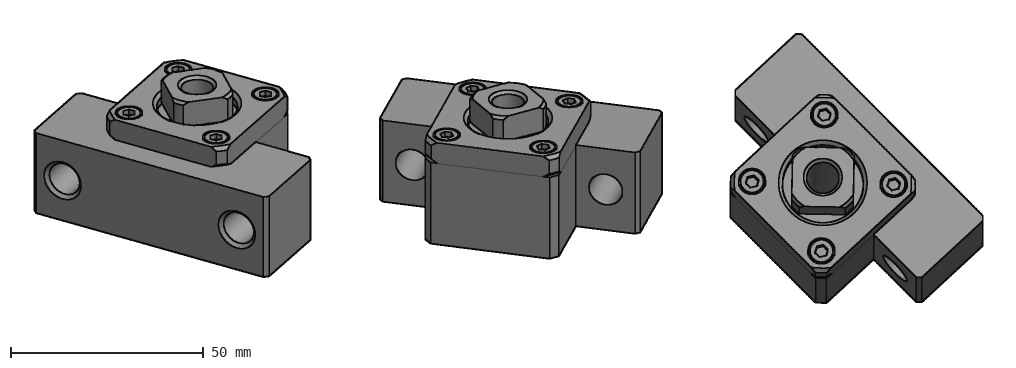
import cadquery as cq
import math

BLOCK_LENGTH = 70.0
FOOT_DEPTH = 24.0
BLOCK_HEIGHT = 24.0
FOOT_CHAMFER = 1.06
BACK_CHAMFER = 2.0

COVER_SIZE = 36.0
COVER_THICKNESS = 6.0
COVER_CORNER_DIAMETER = 48.0
COVER_EDGE_CHAMFER = 1.0
COVER_TOP = BLOCK_HEIGHT + COVER_THICKNESS

TOTAL_DEPTH = 43.0
BACK_Y = COVER_SIZE / 2
FRONT_Y = BACK_Y - TOTAL_DEPTH
STEP_Y = FRONT_Y + FOOT_DEPTH

MOUNT_DIAMETER = 9.0
MOUNT_SPACING = 52.0
MOUNT_CHAMFER = 1.0

BORE_DIAMETER = 21.0
BORE_CHAMFER = 1.0
BORE_DEPTH = 3.0

SCREW_SPACING = 26.0
COUNTERBORE_DIAMETER = 7.0
SCREW_HEAD_DIAMETER = 6.0
HEAD_GAP_DEPTH = 3.0
SOCKET_ACROSS_FLATS = 3.0
SOCKET_DEPTH = 1.5

TOTAL_HEIGHT = 35.5
NECK_DIAMETER = 12.0
HEAD_CLEARANCE = 1.2
HEAD_BOTTOM = COVER_TOP - BORE_DEPTH + HEAD_CLEARANCE
HEAD_DIAMETER = 20.0
HEAD_ACROSS_FLATS = 16.0
HEAD_CHAMFER = 0.8
THREAD_CORE_DIAMETER = 8.38
THREAD_MOUTH_DIAMETER = 10.0


def make_block():
    foot = (
        cq.Workplane("XY")
        .box(BLOCK_LENGTH, FOOT_DEPTH, BLOCK_HEIGHT, centered=(True, False, False))
        .translate((0, FRONT_Y, 0))
        .edges("|Z")
        .chamfer(FOOT_CHAMFER)
    )
    back = (
        cq.Workplane("XY")
        .box(COVER_SIZE, BACK_Y - STEP_Y, BLOCK_HEIGHT, centered=(True, False, False))
        .translate((0, STEP_Y, 0))
        .edges("|Z and >Y")
        .chamfer(BACK_CHAMFER)
    )
    return foot.union(back)


def make_cover():
    turned_disc = (
        cq.Workplane("XY", origin=(0, 0, BLOCK_HEIGHT))
        .circle(COVER_CORNER_DIAMETER / 2)
        .extrude(COVER_THICKNESS)
        .faces(">Z or <Z")
        .chamfer(COVER_EDGE_CHAMFER)
    )
    square_plate = (
        cq.Workplane("XY", origin=(0, 0, BLOCK_HEIGHT))
        .rect(COVER_SIZE, COVER_SIZE)
        .extrude(COVER_THICKNESS)
    )
    return turned_disc.intersect(square_plate)


def chamfered_mouth(plane, diameter, depth):
    """Cone that widens a hole at 45 degrees; it runs from the mouth along the plane normal."""
    return plane.circle(diameter / 2 + depth).workplane(offset=depth).circle(diameter / 2).loft()


def mounting_hole(x):
    front = cq.Plane(origin=(x, FRONT_Y, BLOCK_HEIGHT / 2), xDir=(1, 0, 0), normal=(0, 1, 0))
    hole = cq.Workplane(front).circle(MOUNT_DIAMETER / 2).extrude(FOOT_DEPTH)
    return hole.union(chamfered_mouth(cq.Workplane(front), MOUNT_DIAMETER, MOUNT_CHAMFER))


def cover_bore():
    top = cq.Plane(origin=(0, 0, COVER_TOP), xDir=(1, 0, 0), normal=(0, 0, -1))
    bore = cq.Workplane(top).circle(BORE_DIAMETER / 2).extrude(BORE_DEPTH)
    return bore.union(chamfered_mouth(cq.Workplane(top), BORE_DIAMETER, BORE_CHAMFER))


def screw_recess(x, y):
    """Ring-shaped gap around a screw head, together with its hexagon socket."""
    gap = (
        cq.Workplane("XY", origin=(x, y, COVER_TOP))
        .circle(COUNTERBORE_DIAMETER / 2)
        .circle(SCREW_HEAD_DIAMETER / 2)
        .extrude(-HEAD_GAP_DEPTH)
    )
    across_corners = SOCKET_ACROSS_FLATS / math.cos(math.pi / 6)
    socket = (
        cq.Workplane("XY", origin=(x, y, COVER_TOP))
        .polygon(6, across_corners)
        .extrude(-SOCKET_DEPTH)
    )
    return gap.union(socket)


def make_housing():
    housing = make_block().union(make_cover(), clean=False)
    housing = housing.cut(cover_bore(), clean=False)
    for x in (-MOUNT_SPACING / 2, MOUNT_SPACING / 2):
        housing = housing.cut(mounting_hole(x), clean=False)
    for x in (-SCREW_SPACING / 2, SCREW_SPACING / 2):
        for y in (-SCREW_SPACING / 2, SCREW_SPACING / 2):
            housing = housing.cut(screw_recess(x, y), clean=False)
    neck_hole = cq.Workplane("XY").circle(NECK_DIAMETER / 2).extrude(COVER_TOP)
    return housing.cut(neck_hole, clean=False)


def make_stud():
    neck = cq.Workplane("XY").circle(NECK_DIAMETER / 2).extrude(HEAD_BOTTOM)
    head_height = TOTAL_HEIGHT - HEAD_BOTTOM
    round_head = (
        cq.Workplane("XY", origin=(0, 0, HEAD_BOTTOM))
        .circle(HEAD_DIAMETER / 2)
        .extrude(head_height)
        .faces(">Z")
        .chamfer(HEAD_CHAMFER)
    )
    square = (
        cq.Workplane("XY", origin=(0, 0, HEAD_BOTTOM))
        .rect(HEAD_ACROSS_FLATS, HEAD_ACROSS_FLATS)
        .extrude(head_height)
        .rotate((0, 0, 0), (0, 0, 1), 45)
    )
    stud = neck.union(round_head.intersect(square))

    top = cq.Plane(origin=(0, 0, TOTAL_HEIGHT), xDir=(1, 0, 0), normal=(0, 0, -1))
    thread_core = cq.Workplane(top).circle(THREAD_CORE_DIAMETER / 2).extrude(TOTAL_HEIGHT)
    mouth_depth = (THREAD_MOUTH_DIAMETER - THREAD_CORE_DIAMETER) / 2
    mouth = chamfered_mouth(cq.Workplane(top), THREAD_CORE_DIAMETER, mouth_depth)
    return stud.cut(thread_core).cut(mouth)


housing = make_housing()
stud = make_stud()

result = cq.Compound.makeCompound([housing.solids().val(), stud.solids().val()])